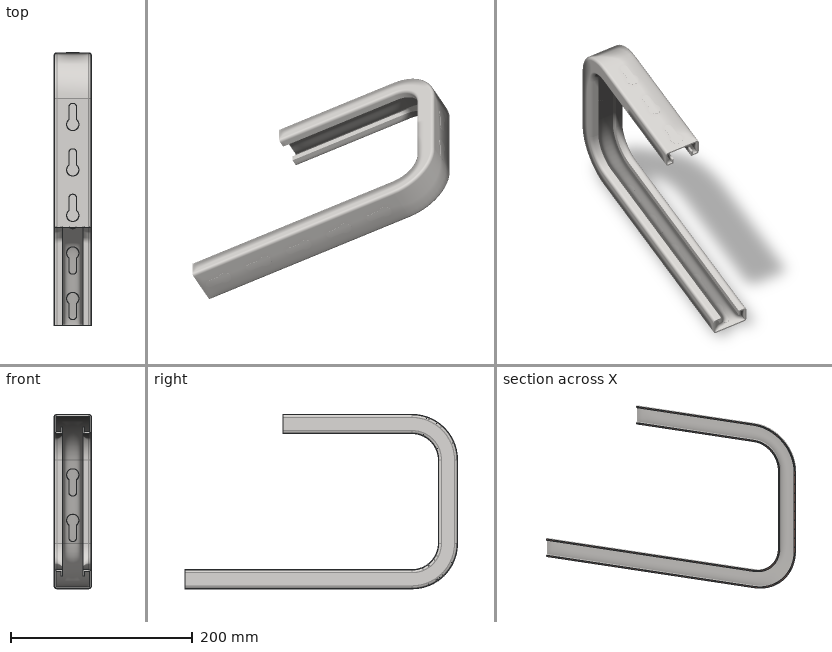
import cadquery as cq
import math

channel_width = 41.0
channel_depth = 21.0
wall = 2.0
corner_radius = 3.3
lip_gap = 22.0
lip_height = 7.0

bracket_reach = 300.0
bracket_height = 191.78
upper_arm_length = 192.0
bend_radius = 50.0

pad_proud = 0.2
pad_length = 30.0
pad_head_radius = 6.75
pad_tail_radius = 4.25
pad_pitch = 50.0

upper_pad_count = 3
upper_first_pad = 13.25
back_pad_count = 2
back_first_pad = 66.5
lower_pad_count = 5
lower_first_pad = 70.25

upper_end = cq.Vector(0, bracket_reach - upper_arm_length, bracket_height)
upper_corner = cq.Vector(0, bracket_reach, bracket_height)
lower_corner = cq.Vector(0, bracket_reach, 0)


def web_path():
    """Side profile line of the web's outer face, in the YZ plane."""
    back_y = bracket_reach
    straight_y = bracket_reach - bend_radius
    upper_bend_z = bracket_height - bend_radius
    mid_bend = bend_radius * (1 - math.sqrt(0.5))
    return (
        cq.Workplane("YZ")
        .moveTo(upper_end.y, bracket_height)
        .lineTo(straight_y, bracket_height)
        .threePointArc((back_y - mid_bend, bracket_height - mid_bend), (back_y, upper_bend_z))
        .lineTo(back_y, bend_radius)
        .threePointArc((back_y - mid_bend, mid_bend), (straight_y, 0))
        .lineTo(0, 0)
    )


def channel():
    """Lipped channel section swept along the bracket; the web faces outward, the lips inward."""
    half_width = channel_width / 2
    half_cavity = half_width - wall
    half_gap = lip_gap / 2
    bend_inset = corner_radius * (1 - math.sqrt(0.5))
    half_section = (
        cq.Workplane(cq.Plane(origin=upper_end, xDir=(1, 0, 0), normal=(0, -1, 0)))
        .moveTo(0, 0)
        .lineTo(half_width - corner_radius, 0)
        .threePointArc((half_width - bend_inset, -bend_inset), (half_width, -corner_radius))
        .lineTo(half_width, corner_radius - channel_depth)
        .threePointArc(
            (half_width - bend_inset, bend_inset - channel_depth),
            (half_width - corner_radius, -channel_depth),
        )
        .lineTo(half_gap, -channel_depth)
        .lineTo(half_gap, lip_height - channel_depth)
        .lineTo(half_gap + wall, lip_height - channel_depth)
        .lineTo(half_gap + wall, wall - channel_depth)
        .lineTo(half_cavity, wall - channel_depth)
        .lineTo(half_cavity, -wall)
        .lineTo(0, -wall)
        .close()
    )
    half_channel = half_section.sweep(web_path())
    return half_channel.union(half_channel.mirror("YZ"))


def keyhole_pads(leg_start, run, outward, first_pad, count):
    """Row of keyhole pads through the web of one leg, heads nearest the leg's start."""
    tail_offset = pad_length - pad_head_radius - pad_tail_radius
    head_positions = [(first_pad + i * pad_pitch, 0) for i in range(count)]
    tail_positions = [(x + tail_offset / 2, y) for x, y in head_positions]
    slot_length = tail_offset + 2 * pad_tail_radius
    thickness = wall + 2 * pad_proud
    outer_face = cq.Plane(origin=leg_start, xDir=run, normal=outward)
    base = cq.Workplane(outer_face).workplane(offset=pad_proud)
    heads = base.pushPoints(head_positions).circle(pad_head_radius).extrude(-thickness)
    tails = base.pushPoints(tail_positions).slot2D(slot_length, 2 * pad_tail_radius).extrude(-thickness)
    return heads.union(tails)


upper_pads = keyhole_pads(upper_end, (0, 1, 0), (0, 0, 1), upper_first_pad, upper_pad_count)
back_pads = keyhole_pads(upper_corner, (0, 0, -1), (0, 1, 0), back_first_pad, back_pad_count)
lower_pads = keyhole_pads(lower_corner, (0, -1, 0), (0, 0, -1), lower_first_pad, lower_pad_count)

result = channel().union(upper_pads).union(back_pads).union(lower_pads)